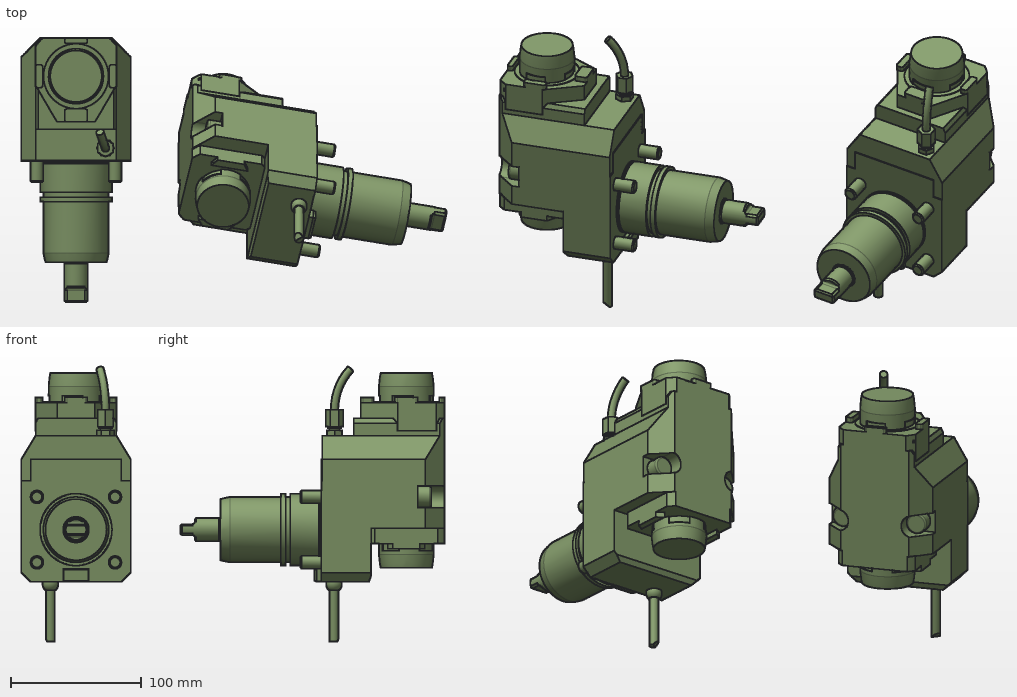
import cadquery as cq
import math


WIDTH = 84.0
HALF_WIDTH = WIDTH / 2
DEPTH = 94.2
SHOULDER_Z = 53.6
DECK_Z = 72.0
NECK_TOP_Z = 85.2
NECK_HALF_WIDTH = 31.0
NECK_FRONT_Y = 24.6
NECK_BEVEL_WIDTH = 1.9
NECK_BEVEL_HEIGHT = 3.8
BOTTOM_Z = -40.0
BOTTOM_CHAMFER = 7.2
FOOT_DEPTH = 38.0
FOOT_BEVEL_DEPTH = 1.7
FOOT_BEVEL_HEIGHT = 4.6
REAR_FLOOR_Z = 1.0
REAR_CHAMFER_X = 14.5
REAR_CHAMFER_Y = 14.7
FRONT_RELIEF = 0.6
PAD_HALF_WIDTH = 34.7
PAD_EAR_Z = 37.5

BOLT_X = 29.9
BOLT_Z = 25.0
BOLT_DIAMETER = 9.9
BOLT_LENGTH = 16.0
BOLT_CHAMFER = 1.0
HEAD_DIAMETER = 16.0
HEAD_LENGTH = 10.3
HEAD_ROUNDING = 1.3
HEAD_SEAT_Y = 73.6
HEAD_POCKET_DIAMETER = 16.8

KEY_WIDTH = 19.8
KEY_TOP_Z = -29.9
KEY_BOTTOM_Z = -39.7
KEY_LENGTH = 5.3
KEY_CHAMFER_LENGTH = 1.9
KEY_CHAMFER_WIDTH = 0.6

FLANGE_DIAMETER = 55.0
SHANK_DIAMETER = 50.0
SHANK_TIP_DIAMETER = 46.7
GROOVE_START = 0.6
GROOVE_END = 1.9
GROOVE_DEPTH = 0.6
FLANGE_END = 23.8
RING_START = 27.3
RING_END = 31.0
TAPER_START = 70.0
SHANK_END = 77.2
TAPER_MIDDLE_DROP = 0.6

SHAFT_DIAMETER = 18.0
SHAFT_BORE_DIAMETER = 19.8
SHAFT_BORE_DEPTH = 1.0
SHAFT_NECK_DIAMETER = 17.2
SHAFT_NECK_END = 78.2
SHAFT_END = 96.7
SHAFT_CHAMFER = 1.3
SHAFT_TIP = 107.7
TONGUE_THICKNESS = 8.6
TONGUE_ROOT_RADIUS = 1.7
TONGUE_CHAMFER = 1.3
TONGUE_FLAT_WIDTH = 13.2
TONGUE_EDGE_ANGLE = 37

COLLET_Y = 65.0
UPPER_PLATE_RADIUS = 38.7
LOWER_PLATE_RADIUS = 39.3
PLATE_HALF_WIDTH = 31.1
UPPER_PLATE_Z = 97.2
UPPER_PLATE_FRONT_Y = 30.0
UPPER_PLATE_NOSE_HALF_WIDTH = 14.5
UPPER_PLATE_SIDE_Y = 58.5
CHEEK_BOTTOM_Z = 75.7
LOWER_PLATE_Z = -10.7
SEAT_DIAMETER = 49.6
SEAT_HEIGHT = 0.5
CAP_RADIUS = 21.0
CAP_TIP_DIAMETER = 39.3
CAP_TIP_RADIUS = CAP_TIP_DIAMETER / 2
CAP_CROWN_HEIGHT = 10.3
CAP_MIDDLE_DROP = 0.5
UPPER_CAP_HEIGHT = 22.7
LOWER_CAP_HEIGHT = 18.5
CAP_POCKET_DEPTH = 0.6
CAP_POCKET_HEIGHT = 5.3
CAP_POCKET_SPAN = 45
UPPER_POCKET_ANGLE = 172
LOWER_POCKET_ANGLE = 142
DRIVE_KEY_WIDTH = 17.5
DRIVE_KEY_HEIGHT = 4.0
SIDE_KEY_INNER_X = 25.5
REAR_KEY_FRONT_Y = 90.0
FRONT_KEY_REAR_Y = 40.0
DRIVE_KEY_CORNER = 1.7
LOWER_KEY_OUTER_WIDTH = 20.6
LOWER_KEY_INNER_WIDTH = 28.2
SET_SCREW_DIAMETER = 2.0
SET_SCREW_DEPTH = 2.0
SET_SCREW_ANGLE = 141
SET_SCREW_Z = 91.7

FITTING_X = 22.5
FITTING_Y = 10.0
JAM_NUT_FLATS = 11.5
JAM_NUT_TOP_Z = 76.0
STEM_DIAMETER = 8.2
COLLAR_DIAMETER = 10.0
COLLAR_Z = 77.4
HOSE_NUT_FLATS = 11.8
HOSE_NUT_BOTTOM_Z = 78.7
HOSE_NUT_TOP_Z = 91.7
HOSE_DIAMETER = 5.9
HOSE_BEND = 45
HOSE_HEADING = 109
OVERALL_HEIGHT = 210.3

PIPE_X = -19.5
PIPE_Y = 9.7
PIPE_DIAMETER = 7.0
PIPE_END_Z = -85.5
BALL_DIAMETER = 12.2
BALL_Z = -41.6
BALL_END_Z = -46.3


def block(x_range, y_range, z_range):
    """Box given by its limits along each axis."""
    size = [high - low for low, high in (x_range, y_range, z_range)]
    low_corner = (x_range[0], y_range[0], z_range[0])
    return cq.Workplane("XY").box(*size, centered=False).translate(low_corner)


def rod_y(diameter, y_start, y_end, x=0.0, z=0.0):
    """Cylinder along Y that runs forward from y_start to y_end."""
    plane = cq.Workplane("XZ", origin=(x, y_start, z))
    return plane.circle(diameter / 2).extrude(y_start - y_end)


def upright(diameter, z_start, z_end, x, y):
    """Cylinder along Z."""
    plane = cq.Workplane("XY", origin=(x, y, z_start))
    return plane.circle(diameter / 2).extrude(z_end - z_start)


def hex_nut(flats, z_start, z_end, turn):
    """Hexagonal prism on the fitting axis."""
    across_corners = flats / math.cos(math.radians(30))
    nut = cq.Workplane("XY").polygon(6, across_corners).extrude(z_end - z_start)
    nut = nut.rotate((0, 0, 0), (0, 0, 1), turn)
    return nut.translate((FITTING_X, FITTING_Y, z_start))


def make_housing():
    half_outline = [
        (HALF_WIDTH - BOTTOM_CHAMFER, BOTTOM_Z),
        (HALF_WIDTH, BOTTOM_Z + BOTTOM_CHAMFER),
        (HALF_WIDTH, SHOULDER_Z),
        (NECK_HALF_WIDTH, DECK_Z),
        (NECK_HALF_WIDTH, NECK_TOP_Z - NECK_BEVEL_HEIGHT),
        (NECK_HALF_WIDTH - NECK_BEVEL_WIDTH, NECK_TOP_Z),
    ]
    mirrored = [(-x, z) for x, z in reversed(half_outline)]
    housing = cq.Workplane("XZ").polyline(half_outline + mirrored).close().extrude(-DEPTH)

    side_outline = [
        (0, BOTTOM_Z),
        (FOOT_DEPTH - FOOT_BEVEL_DEPTH, BOTTOM_Z),
        (FOOT_DEPTH, BOTTOM_Z + FOOT_BEVEL_HEIGHT),
        (FOOT_DEPTH, REAR_FLOOR_Z),
        (DEPTH, REAR_FLOOR_Z),
        (DEPTH, NECK_TOP_Z),
        (NECK_FRONT_Y, NECK_TOP_Z),
        (NECK_FRONT_Y, DECK_Z),
        (0, DECK_Z),
    ]
    side = cq.Workplane("YZ").polyline(side_outline).close().extrude(HALF_WIDTH, both=True)
    housing = housing.intersect(side)

    plan_outline = [
        (-HALF_WIDTH, 0),
        (HALF_WIDTH, 0),
        (HALF_WIDTH, DEPTH - REAR_CHAMFER_Y),
        (HALF_WIDTH - REAR_CHAMFER_X, DEPTH),
        (REAR_CHAMFER_X - HALF_WIDTH, DEPTH),
        (-HALF_WIDTH, DEPTH - REAR_CHAMFER_Y),
    ]
    plan = cq.Workplane("XY", origin=(0, 0, BOTTOM_Z)).polyline(plan_outline).close()
    housing = housing.intersect(plan.extrude(NECK_TOP_Z - BOTTOM_Z))

    full_width = (-HALF_WIDTH, HALF_WIDTH)
    relief_depth = (0, FRONT_RELIEF)
    relief = block(full_width, relief_depth, (PAD_EAR_Z, DECK_Z))
    pad = block((-PAD_HALF_WIDTH, PAD_HALF_WIDTH), relief_depth, (PAD_EAR_Z, SHOULDER_Z))
    return housing.cut(relief.cut(pad))


def make_head_pocket(side):
    """Bolt head pocket that opens to the rear and to one side."""
    radius = HEAD_POCKET_DIAMETER / 2
    bore = rod_y(HEAD_POCKET_DIAMETER, DEPTH, HEAD_SEAT_Y, side * BOLT_X, BOLT_Z)
    x_range = sorted((side * BOLT_X, side * HALF_WIDTH))
    opening = block(x_range, (HEAD_SEAT_Y, DEPTH), (BOLT_Z - radius, BOLT_Z + radius))
    return bore.union(opening)


def make_bolt_head(side):
    head = rod_y(HEAD_DIAMETER, HEAD_SEAT_Y + HEAD_LENGTH, HEAD_SEAT_Y, side * BOLT_X, BOLT_Z)
    return head.faces(">Y").edges().fillet(HEAD_ROUNDING)


def make_bolt_tip(side, z):
    tip = rod_y(BOLT_DIAMETER, FRONT_RELIEF, -BOLT_LENGTH, side * BOLT_X, z)
    return tip.faces("<Y").chamfer(BOLT_CHAMFER)


def make_locating_key():
    height = KEY_TOP_Z - KEY_BOTTOM_Z
    taper = math.degrees(math.atan(KEY_CHAMFER_WIDTH / KEY_CHAMFER_LENGTH))
    base = cq.Workplane("XZ", origin=(0, 0, (KEY_TOP_Z + KEY_BOTTOM_Z) / 2)).rect(KEY_WIDTH, height)
    key = base.extrude(KEY_LENGTH - KEY_CHAMFER_LENGTH)
    nose = key.faces("<Y").wires().toPending()
    return nose.workplane().extrude(KEY_CHAMFER_LENGTH, taper=taper)


def make_shank():
    flange = FLANGE_DIAMETER / 2
    shank = SHANK_DIAMETER / 2
    tip = SHANK_TIP_DIAMETER / 2
    bore = SHAFT_BORE_DIAMETER / 2
    neck = SHAFT_NECK_DIAMETER / 2
    shaft = SHAFT_DIAMETER / 2
    bore_floor = SHANK_END - SHAFT_BORE_DEPTH
    taper_middle = (shank - TAPER_MIDDLE_DROP, -(TAPER_START + SHANK_END) / 2)
    profile = (
        cq.Workplane("XY")
        .moveTo(0, 0)
        .lineTo(flange, 0)
        .lineTo(flange, -GROOVE_START)
        .lineTo(flange - GROOVE_DEPTH, -GROOVE_START)
        .lineTo(flange - GROOVE_DEPTH, -GROOVE_END)
        .lineTo(flange, -GROOVE_END)
        .lineTo(flange, -FLANGE_END)
        .lineTo(shank, -FLANGE_END)
        .lineTo(shank, -RING_START)
        .lineTo(flange, -RING_START)
        .lineTo(flange, -RING_END)
        .lineTo(shank, -RING_END)
        .lineTo(shank, -TAPER_START)
        .threePointArc(taper_middle, (tip, -SHANK_END))
        .lineTo(bore, -SHANK_END)
        .lineTo(bore, -bore_floor)
        .lineTo(neck, -bore_floor)
        .lineTo(neck, -SHAFT_NECK_END)
        .lineTo(shaft, -SHAFT_NECK_END)
        .lineTo(shaft, -SHAFT_TIP + TONGUE_CHAMFER)
        .lineTo(shaft - TONGUE_CHAMFER, -SHAFT_TIP)
        .lineTo(0, -SHAFT_TIP)
        .close()
    )
    body = profile.revolve(360, (0, 0, 0), (0, 1, 0))
    for face_side in (-1, 1):
        body = body.cut(make_tongue_cut(face_side))
    return body


def make_tongue_cut(side):
    """Material removed from one face of the shaft tip, leaving the tongue."""
    outside = SHAFT_DIAMETER
    half = TONGUE_THICKNESS / 2
    root = half + TONGUE_ROOT_RADIUS
    shaft = SHAFT_DIAMETER / 2
    slant = TONGUE_ROOT_RADIUS * (1 - math.sqrt(0.5))
    profile = (
        cq.Workplane("YZ")
        .moveTo(-SHAFT_END, outside)
        .lineTo(-SHAFT_END, root)
        .threePointArc((-SHAFT_END - slant, half + slant), (-SHAFT_END - TONGUE_ROOT_RADIUS, half))
        .lineTo(-SHAFT_TIP + TONGUE_CHAMFER, half)
        .lineTo(-SHAFT_TIP, half - TONGUE_CHAMFER)
        .lineTo(-SHAFT_TIP, outside)
        .close()
    )
    cut = profile.extrude(SHAFT_DIAMETER, both=True)

    chamfer = cq.Workplane("XY").polyline([
        (shaft, -SHAFT_END + SHAFT_CHAMFER),
        (shaft, -SHAFT_END),
        (shaft - SHAFT_CHAMFER, -SHAFT_END),
    ])
    chamfer = chamfer.close().revolve(360, (0, 0, 0), (0, 1, 0))
    above_tongue = block((-shaft, shaft), (-SHAFT_TIP, 0), (root, outside))
    cut = cut.union(chamfer.intersect(above_tongue))

    flat_edge = TONGUE_FLAT_WIDTH / 2
    drop = (shaft - flat_edge) * math.tan(math.radians(TONGUE_EDGE_ANGLE))
    wedge_plane = cq.Workplane("XZ", origin=(0, -SHAFT_END - TONGUE_ROOT_RADIUS, 0))
    for edge_side in (-1, 1):
        corners = [
            (edge_side * flat_edge, half),
            (edge_side * shaft, half),
            (edge_side * shaft, half - drop),
        ]
        wedge = wedge_plane.polyline(corners).close().extrude(SHAFT_TIP - SHAFT_END)
        cut = cut.union(wedge)
    return cut if side > 0 else cut.mirror("XY")


def make_cap(height, pocket_angle):
    """Collet cap standing on Z = 0 around the Z axis, crowned at its free end."""
    crown_start = height - CAP_CROWN_HEIGHT
    bulge = (CAP_RADIUS - CAP_MIDDLE_DROP, height - CAP_CROWN_HEIGHT / 2)
    cap = (
        cq.Workplane("XZ")
        .lineTo(CAP_RADIUS, 0)
        .lineTo(CAP_RADIUS, crown_start)
        .threePointArc(bulge, (CAP_TIP_RADIUS, height))
        .lineTo(0, height)
        .close()
        .revolve(360, (0, 0, 0), (0, 1, 0))
    )
    pocket = (
        cq.Workplane("XZ")
        .moveTo(CAP_RADIUS - CAP_POCKET_DEPTH, 0)
        .lineTo(CAP_RADIUS + CAP_POCKET_DEPTH, 0)
        .lineTo(CAP_RADIUS + CAP_POCKET_DEPTH, CAP_POCKET_HEIGHT)
        .lineTo(CAP_RADIUS - CAP_POCKET_DEPTH, CAP_POCKET_HEIGHT)
        .close()
        .revolve(CAP_POCKET_SPAN, (0, 0, 0), (0, 1, 0))
    )
    centre = pocket.val().Center()
    first = -math.degrees(math.atan2(centre.y, centre.x))
    for quarter in range(4):
        turn = first + pocket_angle + 90 * quarter
        cap = cap.cut(pocket.rotate((0, 0, 0), (0, 0, 1), turn))
    return cap


def drive_key(x_range, y_range):
    """Raised key on the upper plate with rounded upright corners."""
    key = block(x_range, y_range, (UPPER_PLATE_Z, UPPER_PLATE_Z + DRIVE_KEY_HEIGHT))
    return key.edges("|Z").fillet(DRIVE_KEY_CORNER)


def make_upper_collet():
    outline = [
        (-UPPER_PLATE_NOSE_HALF_WIDTH, UPPER_PLATE_FRONT_Y),
        (UPPER_PLATE_NOSE_HALF_WIDTH, UPPER_PLATE_FRONT_Y),
        (PLATE_HALF_WIDTH, UPPER_PLATE_SIDE_Y),
        (PLATE_HALF_WIDTH, DEPTH),
        (-PLATE_HALF_WIDTH, DEPTH),
        (-PLATE_HALF_WIDTH, UPPER_PLATE_SIDE_Y),
    ]
    plate = cq.Workplane("XY", origin=(0, 0, CHEEK_BOTTOM_Z)).polyline(outline).close()
    plate = plate.extrude(UPPER_PLATE_Z - CHEEK_BOTTOM_Z)
    disc = upright(2 * UPPER_PLATE_RADIUS, CHEEK_BOTTOM_Z, UPPER_PLATE_Z, 0, COLLET_Y)
    plate = plate.intersect(disc)
    seat_top = UPPER_PLATE_Z + SEAT_HEIGHT
    collet = plate.union(upright(SEAT_DIAMETER, UPPER_PLATE_Z, seat_top, 0, COLLET_Y))
    cap = make_cap(UPPER_CAP_HEIGHT, UPPER_POCKET_ANGLE)
    collet = collet.union(cap.translate((0, COLLET_Y, UPPER_PLATE_Z)))

    across = (-DRIVE_KEY_WIDTH / 2, DRIVE_KEY_WIDTH / 2)
    along = (COLLET_Y + across[0], COLLET_Y + across[1])
    collet = collet.union(drive_key(across, (UPPER_PLATE_FRONT_Y, FRONT_KEY_REAR_Y)))
    collet = collet.union(drive_key(across, (REAR_KEY_FRONT_Y, DEPTH)))
    collet = collet.union(drive_key((-PLATE_HALF_WIDTH, -SIDE_KEY_INNER_X), along))
    return collet.union(drive_key((SIDE_KEY_INNER_X, PLATE_HALF_WIDTH), along))


def make_set_screw_hole():
    angle = math.radians(SET_SCREW_ANGLE)
    outward = cq.Vector(math.cos(angle), math.sin(angle), 0)
    start = cq.Vector(0, COLLET_Y, SET_SCREW_Z) + outward * (UPPER_PLATE_RADIUS - SET_SCREW_DEPTH)
    radius = SET_SCREW_DIAMETER / 2
    return cq.Workplane(cq.Solid.makeCylinder(radius, 2 * SET_SCREW_DEPTH, start, outward))


def make_lower_collet():
    thickness_range = (LOWER_PLATE_Z, REAR_FLOOR_Z)
    plate = block((-PLATE_HALF_WIDTH, PLATE_HALF_WIDTH), (FOOT_DEPTH, DEPTH), thickness_range)
    collet = plate.intersect(upright(2 * LOWER_PLATE_RADIUS, *thickness_range, 0, COLLET_Y))

    cap = make_cap(LOWER_CAP_HEIGHT, LOWER_POCKET_ANGLE).mirror("XY")
    collet = collet.union(cap.translate((0, COLLET_Y, LOWER_PLATE_Z)))

    outer = LOWER_KEY_OUTER_WIDTH / 2
    inner = LOWER_KEY_INNER_WIDTH / 2
    for side in (-1, 1):
        outline = [
            (side * PLATE_HALF_WIDTH, COLLET_Y - outer),
            (side * PLATE_HALF_WIDTH, COLLET_Y + outer),
            (side * SIDE_KEY_INNER_X, COLLET_Y + inner),
            (side * SIDE_KEY_INNER_X, COLLET_Y - inner),
        ]
        key = cq.Workplane("XY", origin=(0, 0, LOWER_PLATE_Z)).polyline(outline).close()
        collet = collet.union(key.extrude(-DRIVE_KEY_HEIGHT))
    return collet


def make_hose_fitting():
    fitting = hex_nut(JAM_NUT_FLATS, DECK_Z, JAM_NUT_TOP_Z, 0)
    fitting = fitting.union(
        upright(STEM_DIAMETER, JAM_NUT_TOP_Z, COLLAR_Z, FITTING_X, FITTING_Y)
    )
    fitting = fitting.union(
        upright(COLLAR_DIAMETER, COLLAR_Z, HOSE_NUT_BOTTOM_Z, FITTING_X, FITTING_Y)
    )
    return fitting.union(hex_nut(HOSE_NUT_FLATS, HOSE_NUT_BOTTOM_Z, HOSE_NUT_TOP_Z, 30))


def make_hose():
    """Hose bent along one arc, whose raised rim is the highest point of the part."""
    radius = HOSE_DIAMETER / 2
    sine = math.sin(math.radians(HOSE_BEND))
    top_z = PIPE_END_Z + OVERALL_HEIGHT
    bend_radius = (top_z - radius * sine - HOSE_NUT_TOP_Z) / sine
    section = cq.Workplane("XY").circle(radius)
    hose = section.revolve(HOSE_BEND, (bend_radius, 0, 0), (bend_radius, 1, 0))
    hose = hose.rotate((0, 0, 0), (0, 0, 1), HOSE_HEADING)
    return hose.translate((FITTING_X, FITTING_Y, HOSE_NUT_TOP_Z))


def make_pipe():
    ball = cq.Workplane("XY").sphere(BALL_DIAMETER / 2).translate((PIPE_X, PIPE_Y, BALL_Z))
    reach = BALL_DIAMETER / 2
    keep = block(
        (PIPE_X - reach, PIPE_X + reach), (PIPE_Y - reach, PIPE_Y + reach), (BALL_END_Z, BOTTOM_Z)
    )
    pipe = upright(PIPE_DIAMETER, PIPE_END_Z, BALL_END_Z, PIPE_X, PIPE_Y)
    bevel_plane = cq.Plane(
        origin=(PIPE_X, PIPE_Y, PIPE_END_Z), xDir=(1, 1, 0), normal=(-1, 1, -math.sqrt(2))
    )
    bevel = cq.Workplane(bevel_plane).rect(2 * PIPE_DIAMETER, 2 * PIPE_DIAMETER).extrude(PIPE_DIAMETER)
    return ball.intersect(keep).union(pipe.cut(bevel))


result = make_housing()
for bolt_side in (-1, 1):
    result = result.cut(make_head_pocket(bolt_side))
    result = result.union(make_bolt_head(bolt_side))
    for bolt_z in (-BOLT_Z, BOLT_Z):
        result = result.union(make_bolt_tip(bolt_side, bolt_z))
result = result.union(make_locating_key())
result = result.union(make_shank())
result = result.union(make_upper_collet())
result = result.cut(make_set_screw_hole())
result = result.union(make_lower_collet())
result = result.union(make_hose_fitting())
result = result.union(make_hose())
result = result.union(make_pipe())